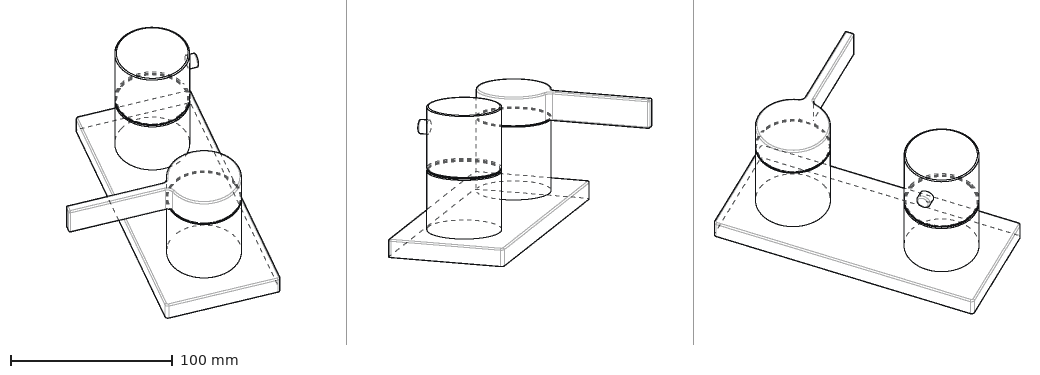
import cadquery as cq
import math

PLATE_LENGTH = 175.0
PLATE_WIDTH = 75.0
PLATE_HEIGHT = 11.5
PLATE_CORNER_RADIUS = 2.0
PLATE_TOP_FILLET = 1.0

CONTROL_OFFSET = 50.0
CONTROL_RADIUS = 23.2

THERMO_TOP = 90.3
THERMO_TOP_CHAMFER_HEIGHT = 0.5
THERMO_TOP_CHAMFER_WIDTH = 1.0
THERMO_BODY_TOP = 49.6
THERMO_CAP_BOTTOM = 50.3
THERMO_NECK_RADIUS = 22.0
THERMO_GAP_CHAMFER = 0.6
BUTTON_RADIUS = 4.5
BUTTON_HEIGHT = 75.1
BUTTON_REACH = 29.0
BUTTON_FILLET = 1.0

LEVER_TOP = 77.0
LEVER_BODY_TOP = 58.0
LEVER_NECK_RADIUS = 22.5
LEVER_BOTTOM = 58.75
LEVER_REACH = 88.98
LEVER_THICKNESS = 6.0
LEVER_BLEND_RADIUS = 4.0
LEVER_FILLET = 1.0


def cylinder(x, radius, bottom, top):
    """Upright cylinder on the plate centreline."""
    return cq.Workplane("XY", origin=(x, 0, bottom)).circle(radius).extrude(top - bottom)


def base_plate():
    plate = cq.Workplane("XY").box(PLATE_LENGTH, PLATE_WIDTH, PLATE_HEIGHT, centered=(True, True, False))
    plate = plate.edges("|Z").fillet(PLATE_CORNER_RADIUS)
    return plate.faces(">Z").edges().fillet(PLATE_TOP_FILLET)


def thermostat_control():
    x = -CONTROL_OFFSET
    body = cylinder(x, CONTROL_RADIUS, 0, THERMO_BODY_TOP).faces(">Z").chamfer(THERMO_GAP_CHAMFER)
    neck = cylinder(x, THERMO_NECK_RADIUS, 0, THERMO_CAP_BOTTOM + THERMO_GAP_CHAMFER)
    cap = cylinder(x, CONTROL_RADIUS, THERMO_CAP_BOTTOM, THERMO_TOP)
    cap = cap.faces("<Z").chamfer(THERMO_GAP_CHAMFER)
    cap = cap.faces(">Z").chamfer(THERMO_TOP_CHAMFER_HEIGHT, THERMO_TOP_CHAMFER_WIDTH)
    button = (
        cq.Workplane("XZ", origin=(x, 0, BUTTON_HEIGHT))
        .circle(BUTTON_RADIUS)
        .extrude(-BUTTON_REACH)
        .faces(">Y")
        .edges()
        .fillet(BUTTON_FILLET)
    )
    return body.union(neck).union(cap).union(button)


def lever_outline():
    """Round head whose rim blends through two concave arcs into a straight lever towards -Y."""
    half = LEVER_THICKNESS / 2
    blend_x = half + LEVER_BLEND_RADIUS
    centre_distance = CONTROL_RADIUS + LEVER_BLEND_RADIUS
    blend_y = -math.sqrt(centre_distance**2 - blend_x**2)
    rim_x = blend_x * CONTROL_RADIUS / centre_distance
    rim_y = blend_y * CONTROL_RADIUS / centre_distance
    mid_angle = (math.pi + math.atan2(-blend_y, -blend_x)) / 2
    mid_x = blend_x + LEVER_BLEND_RADIUS * math.cos(mid_angle)
    mid_y = blend_y + LEVER_BLEND_RADIUS * math.sin(mid_angle)
    return (
        cq.Workplane("XY", origin=(CONTROL_OFFSET, 0, LEVER_BOTTOM))
        .moveTo(-half, -LEVER_REACH)
        .lineTo(half, -LEVER_REACH)
        .lineTo(half, blend_y)
        .threePointArc((mid_x, mid_y), (rim_x, rim_y))
        .threePointArc((0, CONTROL_RADIUS), (-rim_x, rim_y))
        .threePointArc((-mid_x, mid_y), (-half, blend_y))
        .close()
    )


def lever_control():
    body = cylinder(CONTROL_OFFSET, CONTROL_RADIUS, 0, LEVER_BODY_TOP)
    neck = cylinder(CONTROL_OFFSET, LEVER_NECK_RADIUS, 0, LEVER_TOP - LEVER_FILLET)
    lever = lever_outline().extrude(LEVER_TOP - LEVER_BOTTOM)
    lever = lever.faces("<Y or >Z or <Z").edges().fillet(LEVER_FILLET)
    rim = cylinder(CONTROL_OFFSET, CONTROL_RADIUS, LEVER_BOTTOM, LEVER_BOTTOM + LEVER_FILLET)
    return body.union(neck).union(lever).union(rim)


result = base_plate().union(thermostat_control()).union(lever_control())